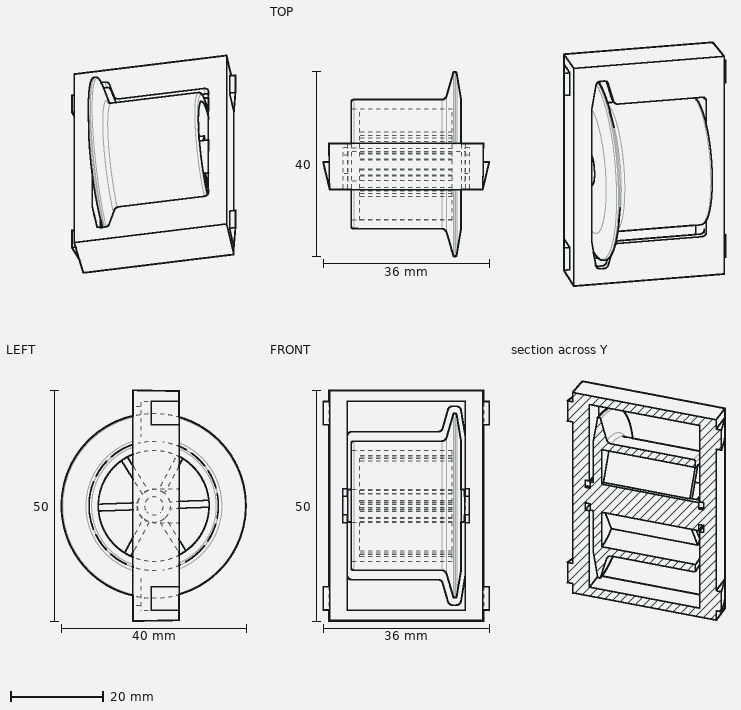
import cadquery as cq
import math

FRAME_WIDTH = 33.5
FRAME_HEIGHT = 50.0
FRAME_DEPTH = 10.0
FRAME_FRONT_Y = -5.5
FRAME_BACK_Y = FRAME_FRONT_Y + FRAME_DEPTH
FRAME_DRAFT = 1.0
SIDE_WALL = 4.0
END_WALL = 2.4
OPENING_WIDTH = FRAME_WIDTH - 2 * SIDE_WALL
OPENING_HEIGHT = FRAME_HEIGHT - 2 * END_WALL

TAB_SPAN = 36.0
TAB_HEIGHT = 5.1
TAB_LENGTH = 6.0
TAB_END_Z = OPENING_HEIGHT / 2

WHEEL_HALF_WIDTH = 11.9
TREAD_RADIUS = 14.0
FLANGE_RADIUS = 20.0
FLANGE_INNER_ANGLE = 16.0
FLANGE_OUTER_ANGLE = 9.5
FLANGE_ROOT_X = 8.5
FLANGE_ROOT_FILLET = 1.0
FLANGE_TIP_FILLET = 0.35
TREAD_EDGE_FILLET = 0.5
BORE_RADIUS = 12.0
WEB_THICKNESS = 2.0

SPOKE_COUNT = 6
SPOKE_THICKNESS = 1.5
SPOKE_TILT = 2.0
SPOKE_RECESS = 1.75
HUB_RADIUS = 3.55
HUB_HALF_LENGTH = 12.65
AXLE_RADIUS = 2.0
AXLE_SLOT_WIDTH = 7.3
AXLE_SLOT_DEPTH = 0.95
AXLE_HALF_LENGTH = OPENING_WIDTH / 2 + AXLE_SLOT_DEPTH

PLATE_THICKNESS = 1.75
TREAD_CLEARANCE = 2.0
FLANGE_CLEARANCE = 1.5
TREAD_WINDOW_Z = TREAD_RADIUS + TREAD_CLEARANCE
FLANGE_WINDOW_Z = FLANGE_RADIUS + FLANGE_CLEARANCE
WINDOW_STEP_X = 7.7
WINDOW_FLANGE_END_X = 11.7
WINDOW_FILLET = 1.0


def offset_by_angle(height, angle):
    """Sideways shift of a line rising by height at an angle from vertical."""
    return height * math.tan(math.radians(angle))


def x_cylinder(radius, half_length):
    """Cylinder on the wheel axis, centred on the origin."""
    return cq.Workplane("YZ").circle(radius).extrude(half_length, both=True)


def make_frame():
    outer = (
        cq.Workplane("XZ", origin=(0, FRAME_BACK_Y, 0))
        .rect(FRAME_WIDTH, FRAME_HEIGHT)
        .extrude(FRAME_DEPTH, taper=FRAME_DRAFT)
    )
    opening = (
        cq.Workplane("XZ", origin=(0, FRAME_BACK_Y, 0))
        .rect(OPENING_WIDTH, OPENING_HEIGHT)
        .extrude(FRAME_DEPTH)
    )
    return outer.cut(opening)


def make_window():
    """Clearance opening that follows the wheel profile, mirrored about Z = 0."""
    half_width = OPENING_WIDTH / 2
    flange_rise = FLANGE_WINDOW_Z - TREAD_WINDOW_Z
    flange_start_x = WINDOW_STEP_X + offset_by_angle(flange_rise, FLANGE_INNER_ANGLE)
    shoulder_drop = (half_width - WINDOW_FLANGE_END_X) / math.tan(math.radians(FLANGE_OUTER_ANGLE))
    shoulder_z = FLANGE_WINDOW_Z - shoulder_drop
    upper_edge = [
        (-half_width, TREAD_WINDOW_Z),
        (WINDOW_STEP_X, TREAD_WINDOW_Z),
        (flange_start_x, FLANGE_WINDOW_Z),
        (WINDOW_FLANGE_END_X, FLANGE_WINDOW_Z),
        (half_width, shoulder_z),
    ]
    lower_edge = [(x, -z) for x, z in reversed(upper_edge)]
    return (
        cq.Workplane("XZ", origin=(0, FRAME_BACK_Y, 0))
        .polyline(upper_edge + lower_edge)
        .close()
        .extrude(PLATE_THICKNESS)
        .edges("|Y")
        .fillet(WINDOW_FILLET)
    )


def make_back_plate():
    plate = (
        cq.Workplane("XZ", origin=(0, FRAME_BACK_Y, 0))
        .rect(OPENING_WIDTH, OPENING_HEIGHT)
        .extrude(PLATE_THICKNESS)
    )
    return plate.cut(make_window())


def make_tabs():
    """Wedges that flare outwards from the front face and end in a square step."""
    tip_x = TAB_SPAN / 2
    tip_y = FRAME_FRONT_Y + TAB_LENGTH
    root_x = FRAME_WIDTH / 2 - offset_by_angle(FRAME_DEPTH, FRAME_DRAFT)
    wedge = [
        (-root_x, FRAME_FRONT_Y),
        (root_x, FRAME_FRONT_Y),
        (tip_x, tip_y),
        (-tip_x, tip_y),
    ]
    pair = (
        cq.Workplane("XY", origin=(0, 0, TAB_END_Z - TAB_HEIGHT))
        .polyline(wedge)
        .close()
        .extrude(TAB_HEIGHT)
    )
    between = cq.Workplane("XY").box(FRAME_WIDTH - SIDE_WALL, 2 * FRAME_DEPTH, FRAME_HEIGHT)
    upper_tabs = pair.cut(between)
    return upper_tabs.union(upper_tabs.mirror("XY"))


def make_axle_slots():
    """Round-ended slots in the inner side walls, open to the front."""
    length = 2 * AXLE_HALF_LENGTH
    straight = (
        cq.Workplane("XY", origin=(0, FRAME_FRONT_Y / 2, 0))
        .box(length, -FRAME_FRONT_Y, AXLE_SLOT_WIDTH)
    )
    return straight.union(x_cylinder(AXLE_SLOT_WIDTH / 2, AXLE_HALF_LENGTH))


def make_wheel_body():
    flange_height = FLANGE_RADIUS - TREAD_RADIUS
    tip_inner_x = FLANGE_ROOT_X + offset_by_angle(flange_height, FLANGE_INNER_ANGLE)
    tip_outer_x = WHEEL_HALF_WIDTH - offset_by_angle(flange_height, FLANGE_OUTER_ANGLE)
    profile = [
        (-WHEEL_HALF_WIDTH, 0),
        (-WHEEL_HALF_WIDTH, TREAD_RADIUS),
        (FLANGE_ROOT_X, TREAD_RADIUS),
        (tip_inner_x, FLANGE_RADIUS),
        (tip_outer_x, FLANGE_RADIUS),
        (WHEEL_HALF_WIDTH, TREAD_RADIUS),
        (WHEEL_HALF_WIDTH, 0),
    ]
    body = cq.Workplane("XY").polyline(profile).close().revolve(360, (0, 0, 0), (1, 0, 0))
    flange_root = cq.selectors.NearestToPointSelector((FLANGE_ROOT_X, 0, 0))
    flange_tip = cq.selectors.RadiusNthSelector(-1)
    body = body.edges("%CIRCLE").edges("<X").fillet(TREAD_EDGE_FILLET)
    body = body.edges("%CIRCLE").edges(flange_root).fillet(FLANGE_ROOT_FILLET)
    return body.edges("%CIRCLE").edges(flange_tip).fillet(FLANGE_TIP_FILLET)


def make_spokes():
    """Radial ribs from the web towards the open end, set back from the rim face."""
    web_x = WHEEL_HALF_WIDTH - WEB_THICKNESS
    start_x = -WHEEL_HALF_WIDTH + SPOKE_RECESS
    reach = (BORE_RADIUS + TREAD_RADIUS) / 2
    spoke = (
        cq.Workplane("YZ", origin=(start_x, 0, 0))
        .center(reach / 2, 0)
        .rect(reach, SPOKE_THICKNESS)
        .extrude(web_x - start_x)
    )
    spokes = cq.Workplane("YZ")
    for index in range(SPOKE_COUNT):
        angle = index * 360 / SPOKE_COUNT - SPOKE_TILT
        spokes = spokes.union(spoke.rotate((0, 0, 0), (1, 0, 0), angle))
    return spokes


def make_wheel():
    """Hollow wheel closed by a web at its flange end, with hub and axle."""
    cavity = (
        cq.Workplane("YZ", origin=(-WHEEL_HALF_WIDTH, 0, 0))
        .circle(BORE_RADIUS)
        .extrude(2 * WHEEL_HALF_WIDTH - WEB_THICKNESS)
    )
    wheel = make_wheel_body().cut(cavity).union(make_spokes())
    wheel = wheel.union(x_cylinder(HUB_RADIUS, HUB_HALF_LENGTH))
    return wheel.union(x_cylinder(AXLE_RADIUS, AXLE_HALF_LENGTH))


carrier = make_frame().union(make_back_plate()).union(make_tabs()).cut(make_axle_slots())
result = carrier.union(make_wheel())